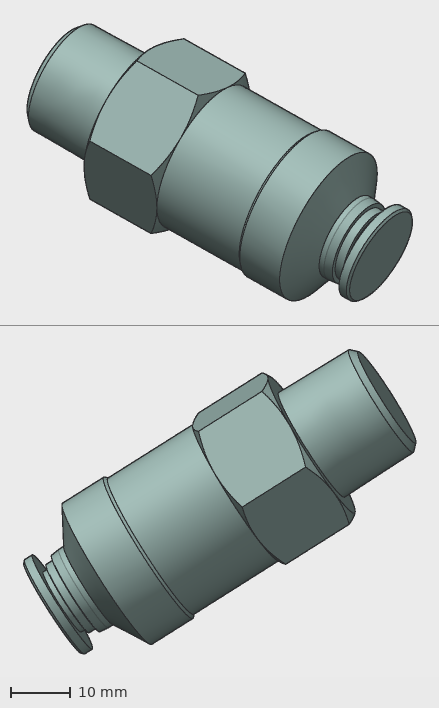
import cadquery as cq
import math

length = 66.5
hex_start = 14.95
hex_end = 30.0
collar_start = 46.95
collar_end = 55.65
nose_end = 59.3
nose_band_end = 60.3
nose_tip = 61.9
sleeve_step = 63.5
flange_start = 64.6

plug_tip_radius = 9.05
plug_chamfer = 1.1
plug_root_radius = 10.4

across_flats = 27.0
across_corners = across_flats / math.cos(math.pi / 6)
hex_corner_chamfer = 1.2

body_radius = across_flats / 2
collar_diameter = 28.0
collar_radius = collar_diameter / 2
collar_bevel = 0.5
nose_radius = 7.8
nose_tip_radius = 7.6

sleeve_radius = 6.8
neck_radius = 6.0
flange_width = 18.8
flange_height = 16.0
flange_chamfer = 0.4


def revolve_about_x(profile):
    """Solid of revolution from (x, radius) points."""
    return cq.Workplane("XY").polyline(profile).close().revolve(360, (0, 0, 0), (1, 0, 0))


def make_turned_body():
    """Plug, body, collar, nose and sleeve, revolved about the X axis."""
    profile = [
        (0, 0),
        (0, plug_tip_radius),
        (plug_chamfer, plug_tip_radius + plug_chamfer),
        (hex_start, plug_root_radius),
        (hex_start, body_radius),
        (collar_start, body_radius),
        (collar_start + collar_bevel, collar_radius),
        (collar_end, collar_radius),
        (nose_end, nose_radius),
        (nose_band_end, nose_radius),
        (nose_tip, nose_tip_radius),
        (nose_tip, sleeve_radius),
        (sleeve_step, sleeve_radius),
        (sleeve_step, neck_radius),
        (flange_start, neck_radius),
        (flange_start, 0),
    ]
    return revolve_about_x(profile)


def make_hexagon():
    """Hexagon with corners at +Z and -Z, its corners trimmed by a cone at both ends."""
    corner_radius = across_corners / 2
    prism = (
        cq.Workplane("YZ", origin=(hex_start, 0, 0))
        .transformed(rotate=(0, 0, 90))
        .polygon(6, across_corners)
        .extrude(hex_end - hex_start)
    )
    trim_profile = [
        (hex_start, 0),
        (hex_start, body_radius),
        (hex_start + hex_corner_chamfer, corner_radius),
        (hex_end - hex_corner_chamfer, corner_radius),
        (hex_end, body_radius),
        (hex_end, 0),
    ]
    return prism.intersect(revolve_about_x(trim_profile))


def make_flange():
    """Elliptical push flange, wider in Y than in Z, chamfered on its outer face."""
    return (
        cq.Workplane("YZ", origin=(flange_start, 0, 0))
        .ellipse(flange_width / 2, flange_height / 2)
        .extrude(length - flange_start)
        .faces(">X")
        .edges()
        .chamfer(flange_chamfer)
    )


result = make_turned_body().union(make_hexagon()).union(make_flange())